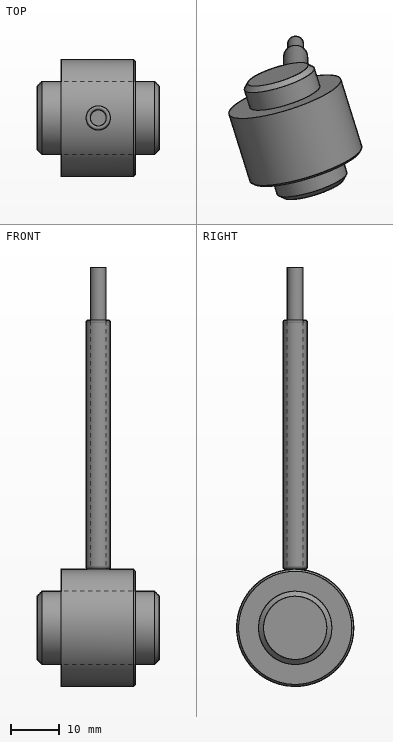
import cadquery as cq

drum_diameter = 24.0
drum_width = 15.2
drum_chamfer = 0.4

shaft_diameter = 15.0
shaft_length = 25.0
shaft_chamfer = 1.0

overall_height = 85.7
sleeve_diameter = 5.0
core_diameter = 3.3
core_exposed_length = 10.8

drum_top = drum_diameter / 2
core_top = overall_height - drum_diameter / 2
sleeve_top = core_top - core_exposed_length

sleeve_wall = (sleeve_diameter - core_diameter) / 2
end_rounding = sleeve_wall / 2


def bar_along_x(diameter, length):
    """Solid round bar along X, centred on the origin."""
    return cq.Workplane("YZ").workplane(offset=-length / 2).circle(diameter / 2).extrude(length)


def rod_from_drum(diameter, top):
    """Upright round rod from the top of the drum to the given height."""
    return cq.Workplane("XY").workplane(offset=drum_top).circle(diameter / 2).extrude(top - drum_top)


def make_shaft():
    """Round bar with both ends chamfered."""
    return bar_along_x(shaft_diameter, shaft_length).faces("<X or >X").chamfer(shaft_chamfer)


def make_drum():
    """Round housing with one chamfered rim and a through bore for the shaft."""
    drum = bar_along_x(drum_diameter, drum_width).faces(">X").chamfer(drum_chamfer)
    return drum.cut(bar_along_x(shaft_diameter, drum_width))


def make_sleeve():
    """Tube around the core whose wall is fully rounded at both ends."""
    bore_radius = core_diameter / 2
    outer_radius = sleeve_diameter / 2
    wall_middle = bore_radius + end_rounding
    straight_bottom = drum_top + end_rounding
    straight_top = sleeve_top - end_rounding
    return (
        cq.Workplane("XZ")
        .moveTo(bore_radius, straight_bottom)
        .threePointArc((wall_middle, drum_top), (outer_radius, straight_bottom))
        .lineTo(outer_radius, straight_top)
        .threePointArc((wall_middle, sleeve_top), (bore_radius, straight_top))
        .close()
        .revolve(360, (0, 0), (0, 1))
    )


def make_core():
    """Rod that fills the sleeve and stands out above it."""
    return rod_from_drum(core_diameter, core_top)


drum = make_drum()
shaft = make_shaft()
sleeve = make_sleeve()
core = make_core()

result = cq.Compound.makeCompound([drum.val(), shaft.val(), sleeve.val(), core.val()])